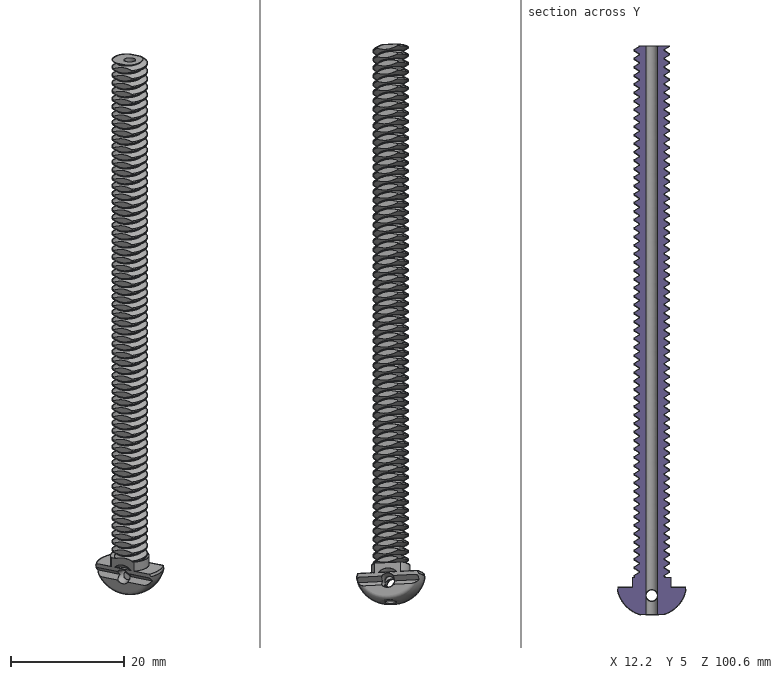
import cadquery as cq

total_length = 100.6
body_thickness = 5.0
bore_diameter = 2.0

head_width = 12.2
head_height = 4.9
head_bottom_radius = 2.0
rim_height = 0.5
rim_inset = 0.15
dome_mid_radius = 4.7
dome_mid_height = 1.7
dome_edge_fillet = 0.6

collar_diameter = 6.8
collar_top = 6.6
collar_mouth_diameter = 4.4

core_diameter = 4.4
thread_diameter = 6.2
thread_span = 97.5
thread_turns = 65
crest_width = 0.25
root_width = 1.46
root_overlap = 0.05

string_groove_height = 1.6
eyelet_height = 3.4
eyelet_diameter = 2.0
eyelet_mouth_diameter = 2.6
eyelet_mouth_depth = 1.0

seam_tolerance = 0.0001

head_radius = head_width / 2
half_thickness = body_thickness / 2
pitch = thread_span / thread_turns
rod_turns = int((total_length - collar_top) / pitch)
root_turn_bottom = total_length - (rod_turns + 1) * pitch


def cylinder(diameter, bottom, top):
    """Upright cylinder on the Z axis."""
    return cq.Workplane("XY", origin=(0, 0, bottom)).circle(diameter / 2).extrude(top - bottom)


def flats(bottom, top):
    """Slab between the two flats, wide enough for every section of the part."""
    slab = cq.Workplane("XY", origin=(0, 0, bottom)).rect(2 * head_width, body_thickness)
    return slab.extrude(top - bottom)


def mouth_cone(side, outer_radius, inner_radius, depth):
    """Cone on the eyelet's axis that narrows inwards from the flat on the given side of Y."""
    start = cq.Vector(0, side * half_thickness, eyelet_height)
    inwards = cq.Vector(0, -side, 0)
    return cq.Workplane(obj=cq.Solid.makeCone(outer_radius, inner_radius, depth, start, inwards))


def make_thread_turn():
    """One pitch of the flattened, right-handed thread from Z = 0 up; its crest passes -X at Z = 0."""
    root_radius = core_diameter / 2 - root_overlap
    crest_radius = thread_diameter / 2
    helix_turns = 3
    path = cq.Wire.makeHelix(pitch, helix_turns * pitch, core_diameter / 2)
    ridge = (
        cq.Workplane("XZ")
        .moveTo(root_radius, -root_width / 2)
        .lineTo(crest_radius, -crest_width / 2)
        .lineTo(crest_radius, crest_width / 2)
        .lineTo(root_radius, root_width / 2)
        .close()
        .sweep(cq.Workplane(obj=path), isFrenet=True)
        .translate((0, 0, -helix_turns * pitch / 2))
    )
    turn = cylinder(core_diameter, 0, pitch).union(ridge.intersect(flats(0, pitch)))
    return turn.cut(cylinder(bore_diameter, 0, pitch))


def make_collar():
    """Flattened collar, countersunk around the eyelet's axis on both flats."""
    collar = cylinder(collar_diameter, head_height, collar_top).intersect(flats(0, collar_top))
    mouth_radius = collar_mouth_diameter / 2
    for side in (-1, 1):
        collar = collar.cut(mouth_cone(side, mouth_radius, 0, mouth_radius))
    return collar


def make_string_groove(side):
    """V groove along X in the flat on the given side of Y."""
    depth = string_groove_height / 2
    mouth = side * half_thickness
    return (
        cq.Workplane("YZ", origin=(-head_width, 0, 0))
        .moveTo(mouth, eyelet_height - depth)
        .lineTo(mouth - side * depth, eyelet_height)
        .lineTo(mouth, eyelet_height + depth)
        .close()
        .extrude(2 * head_width)
    )


def make_head():
    """Dome turned about Z, flattened, rounded along the dome's edges and grooved on both flats."""
    rim_bottom = head_height - rim_height
    dome = (
        cq.Workplane("XZ")
        .lineTo(head_bottom_radius, 0)
        .threePointArc((dome_mid_radius, dome_mid_height), (head_radius, rim_bottom))
        .lineTo(head_radius - rim_inset, head_height)
        .lineTo(0, head_height)
        .close()
        .revolve(360, (0, 0, 0), (0, 1, 0))
    )
    head = dome.intersect(flats(0, head_height))
    dome_edges = cq.selectors.BoxSelector(
        (-head_radius, -body_thickness, 0), (head_radius, body_thickness, rim_bottom / 2)
    )
    head = head.faces("<Y or >Y").edges(dome_edges).fillet(dome_edge_fillet)
    for side in (-1, 1):
        head = head.cut(make_string_groove(side))
    return head


def make_base(turn):
    """Head and collar with the root turn of the thread, bored and pierced by the eyelet."""
    root_turn_top = root_turn_bottom + pitch
    base = make_collar().union(make_head())
    root_turn = turn.translate((0, 0, root_turn_bottom))
    base = base.union(root_turn.intersect(flats(collar_top, root_turn_top)))
    base = base.cut(cylinder(bore_diameter, 0, root_turn_top))
    eyelet = cq.Workplane("XZ", origin=(0, 0, eyelet_height)).circle(eyelet_diameter / 2)
    base = base.cut(eyelet.extrude(half_thickness, both=True))
    for side in (-1, 1):
        mouth = mouth_cone(side, eyelet_mouth_diameter / 2, eyelet_diameter / 2, eyelet_mouth_depth)
        base = base.cut(mouth)
    return base


turn = make_thread_turn()
base = make_base(turn)
turn_skin = turn.faces("not(<Z or >Z)").vals()
skin = base.faces("not >Z").vals()
for i in range(rod_turns):
    lift = cq.Vector(0, 0, total_length - (i + 1) * pitch)
    skin += [face.translate(lift) for face in turn_skin]
top_face = turn.faces(">Z").val().translate(cq.Vector(0, 0, total_length - pitch))
outer_shell = cq.occ_impl.shapes.shell(*skin, top_face, tol=seam_tolerance)
result = cq.Workplane(obj=cq.Solid.makeSolid(outer_shell))